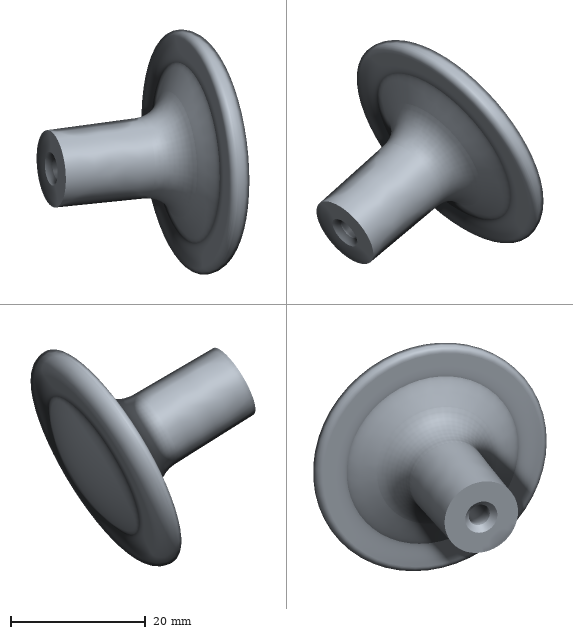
import cadquery as cq
import math


stem_end_radius = 5.8
stem_top_radius = 6.0
stem_length = 14.25
flare_radius = 6.0
cone_angle = math.radians(25.5)

total_length = 28.2
flange_radius = 18.3
flange_bottom = 21.52
rim_lower_radius = 1.02
rim_upper_radius = 2.65
flange_top = flange_bottom + rim_lower_radius + rim_upper_radius
dome_base_radius = 11.9

hole_radius = 1.65
hole_depth = 12.08
countersink_radius = 2.53
countersink_depth = countersink_radius - hole_radius
drill_point_angle = math.radians(118)
drill_point_depth = hole_radius / math.tan(drill_point_angle / 2)


def arc_point(center, radius, angle):
    """Point on a circle at the given angle in radians."""
    return (center[0] + radius * math.cos(angle), center[1] + radius * math.sin(angle))


def make_body():
    """Revolve the outer profile; profile coordinates are (radius, y)."""
    taper_angle = math.atan2(stem_top_radius - stem_end_radius, stem_length)
    flare_start = math.pi - taper_angle
    flare_end = math.pi / 2 + cone_angle
    flare_center = (
        stem_top_radius + flare_radius * math.cos(taper_angle),
        stem_length - flare_radius * math.sin(taper_angle),
    )
    cone_start = arc_point(flare_center, flare_radius, flare_end)
    cone_top_radius = cone_start[0] + (flange_bottom - cone_start[1]) / math.tan(cone_angle)

    rim_y = flange_bottom + rim_lower_radius
    lower_center = (flange_radius - rim_lower_radius, rim_y)
    upper_center = (flange_radius - rim_upper_radius, rim_y)

    dome_rise = total_length - flange_top
    sphere_radius = (dome_base_radius**2 + dome_rise**2) / (2 * dome_rise)
    dome_center = (0, total_length - sphere_radius)
    dome_half_angle = math.asin(dome_base_radius / sphere_radius)
    dome_middle = arc_point(dome_center, sphere_radius, math.pi / 2 - dome_half_angle / 2)

    return (
        cq.Workplane("XY")
        .lineTo(stem_end_radius, 0)
        .lineTo(stem_top_radius, stem_length)
        .threePointArc(arc_point(flare_center, flare_radius, (flare_start + flare_end) / 2), cone_start)
        .lineTo(cone_top_radius, flange_bottom)
        .lineTo(lower_center[0], flange_bottom)
        .threePointArc(arc_point(lower_center, rim_lower_radius, -math.pi / 4), (flange_radius, rim_y))
        .threePointArc(
            arc_point(upper_center, rim_upper_radius, math.pi / 4), (upper_center[0], flange_top)
        )
        .lineTo(dome_base_radius, flange_top)
        .threePointArc(dome_middle, (0, total_length))
        .close()
        .revolve(360, (0, 0), (0, 1))
    )


def make_hole():
    """Countersunk blind hole with a drill-point bottom."""
    return (
        cq.Workplane("XY")
        .lineTo(countersink_radius, 0)
        .lineTo(hole_radius, countersink_depth)
        .lineTo(hole_radius, hole_depth)
        .lineTo(0, hole_depth + drill_point_depth)
        .close()
        .revolve(360, (0, 0), (0, 1))
    )


result = make_body().cut(make_hole())